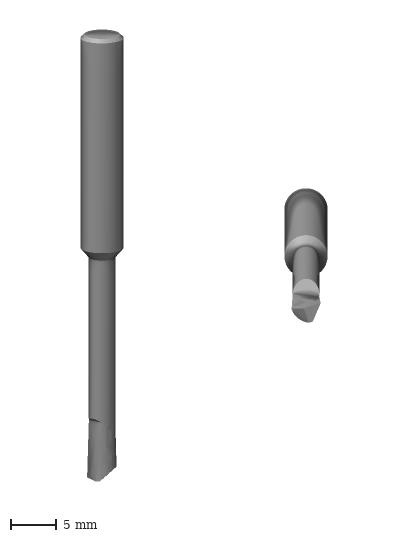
import cadquery as cq
import math

total_length = 50.8
shank_radius = 2.4
shank_chamfer = 0.4
shank_bottom = 26.4
taper_bottom = 25.35
neck_radius = 1.45

head_top = 6.8
head_top_face_angle = 27.0
tip_radius = 1.75
tip_face_angle = 0.0
top_flank_angle = 286.0
tip_flank_angle = 263.0

end_rise = 0.15
bevel_start_x = 0.25
bevel_height = 1.6
cutter_reach = 5.1


def polar_point(radius, angle):
    return (radius * math.cos(math.radians(angle)), radius * math.sin(math.radians(angle)))


def head_wire(radius, face_angle, flank_angle, z):
    """Flat rake face across the axis, straight flank and round back."""
    cutting_edge = polar_point(radius, face_angle + 180)
    heel = polar_point(radius, flank_angle)
    back_middle = polar_point(radius, (flank_angle + face_angle + 360) / 2)
    face_end = polar_point(radius, face_angle)
    outline = cq.Workplane("XY", origin=(0, 0, z)).moveTo(*cutting_edge)
    outline = outline.lineTo(*heel).threePointArc(back_middle, face_end).close()
    return outline.val()


def run_out(distance, direction):
    """Cutter leaving a 45 degree ledge, starting at a distance from the axis."""
    wedge = (
        cq.Workplane("XZ")
        .moveTo(distance, head_top)
        .lineTo(distance + cutter_reach, head_top)
        .lineTo(distance + cutter_reach, head_top + cutter_reach)
        .close()
        .extrude(cutter_reach, both=True)
    )
    return wedge.rotate((0, 0, 0), (0, 0, 1), direction)


def make_body():
    """Turned shank and neck, with run-outs above the rake face and the flank."""
    body = (
        cq.Workplane("XZ")
        .moveTo(0, head_top)
        .lineTo(neck_radius, head_top)
        .lineTo(neck_radius, taper_bottom)
        .lineTo(shank_radius, shank_bottom)
        .lineTo(shank_radius, total_length - shank_chamfer)
        .lineTo(shank_radius - shank_chamfer, total_length)
        .lineTo(0, total_length)
        .close()
        .revolve(360, (0, 0), (0, 1))
    )
    cutting_edge_angle = head_top_face_angle + 180
    flank_direction = (cutting_edge_angle + top_flank_angle) / 2
    flank_half_angle = (top_flank_angle - cutting_edge_angle) / 2
    flank_distance = neck_radius * math.cos(math.radians(flank_half_angle))
    body = body.cut(run_out(0, head_top_face_angle + 90))
    return body.cut(run_out(flank_distance, flank_direction))


def make_head():
    """Twisted cutting head with a sloping end and a bevelled back corner."""
    tip_wire = head_wire(tip_radius, tip_face_angle, tip_flank_angle, 0)
    top_wire = head_wire(neck_radius, head_top_face_angle, top_flank_angle, head_top)
    head = cq.Workplane(cq.Solid.makeLoft([tip_wire, top_wire], True))
    end_relief = (
        cq.Workplane("XZ")
        .moveTo(-tip_radius, 0)
        .lineTo(bevel_start_x, end_rise)
        .lineTo(tip_radius, bevel_height)
        .lineTo(cutter_reach, bevel_height)
        .lineTo(cutter_reach, -cutter_reach)
        .lineTo(-tip_radius, -cutter_reach)
        .close()
        .extrude(cutter_reach, both=True)
    )
    return head.cut(end_relief)


result = make_body().union(make_head())